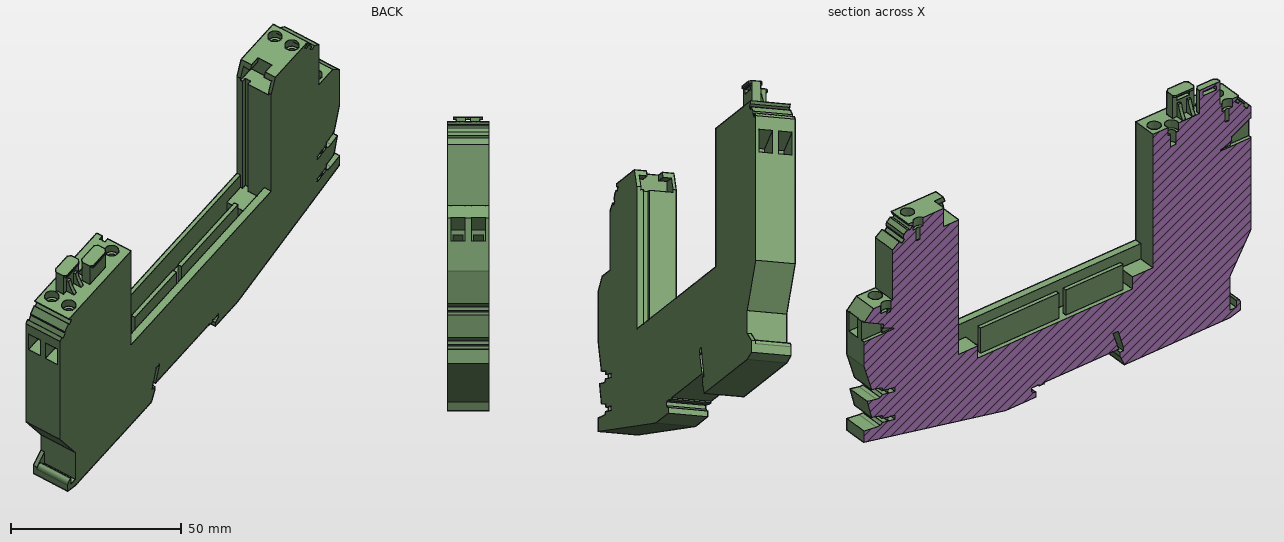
import cadquery as cq
import math


width = 12.3
length = 144.6
plug_top = 86.4
front_top = 78.1
rear_top = 85.0
rear_step_top = 60.3
well_top = 35.9
well_front = 36.7
well_rear = 109.2
rail_top = 6.5
centre_x = width / 2

column_spacing = 6.1
columns = (centre_x - column_spacing / 2, centre_x + column_spacing / 2)


def box(x0, x1, y0, y1, z0, z1):
    """Box between opposite corners."""
    return cq.Workplane("XY").box(x1 - x0, y1 - y0, z1 - z0, centered=False).translate((x0, y0, z0))


def side_prism(points, x0, x1):
    """Extrude a (Y, Z) outline from x0 to x1."""
    return cq.Workplane("YZ").polyline(points).close().extrude(x1 - x0).translate((x0, 0, 0))


jaw_pitch = 10.0
jaw_root_y = 133.1
jaw_neck_y = 135.7
jaw_root_top = 28.6
jaw_root_bottom = 27.3


def jaw(drop):
    """Upper lip, root and lower lip of one bus jaw that opens to the rear."""
    lips = [
        (141.8, 31.5), (139.0, 30.8), (137.9, 30.5), (137.9, 29.5), (jaw_neck_y, 29.1),
        (jaw_root_y, jaw_root_top), (jaw_root_y, jaw_root_bottom), (jaw_neck_y, 27.8),
        (137.7, 28.2), (138.6, 27.5), (140.0, 27.5),
    ]
    return [(y, z - drop) for y, z in lips]


foot_wall_y = 7.8
foot_tip_y = 3.9
foot_ramp_top = 8.0
foot_ramp_bottom = 4.8

foot = [
    (47.3, 0), (foot_wall_y, 0), (foot_tip_y, 1.2), (foot_tip_y, foot_ramp_bottom),
    (foot_wall_y, foot_ramp_top), (foot_wall_y, 14.9), (0, 28.2),
]
front_corner = [
    (0, 72.3), (0.9, 73.3), (1.6, 72.3), (2.6, 73.6), (2.5, 74.4), (4.3, 76.2),
    (4.8, 75.5), (6.0, 76.5), (5.0, 77.2), (4.6, front_top),
]
well = [
    (well_front, front_top), (well_front, well_top), (well_rear, well_top),
    (well_rear, 79.4), (111.4, rear_top),
]
rear_corner = [
    (128.0, rear_top), (127.7, 84.2), (126.5, 83.8), (127.5, 82.7), (128.5, 83.2), (129.8, 82.0),
    (130.0, 81.0), (129.6, 80.1), (130.5, 79.3), (131.5, 80.1), (134.0, 78.3),
]
rear_step = [(134.0, rear_step_top), (141.0, rear_step_top), (length, 56.7), (length, 41.1)]
rear_jaws = jaw(0) + [(143.5, 28.2)] + jaw(jaw_pitch) + [(length, 18.1)]
rail_hook = [
    (length, 13.9), (91.7, 2.6), (80.3, 2.6), (80.3, 4.3), (81.0, 4.6), (82.0, 5.4), (82.0, rail_top),
]
slot_end_y = 50.6
slot_end_z = 13.9
slot_radius = 0.9
foot_slot = [
    (49.3, rail_top), (slot_end_y + slot_radius, slot_end_z - slot_radius),
    (slot_end_y - slot_radius, slot_end_z - slot_radius), (47.7, 6.4), (47.7, 5.4), (49.0, 5.4), (49.0, 3.8),
]

outline = (
    foot + front_corner + well + rear_corner + rear_step + rear_jaws + rail_hook + foot_slot
)
body = side_prism(outline, 0, width)

side_wall = 1.3
slot_end_depth = 1.5
body = body.cut(
    cq.Workplane("YZ").center(slot_end_y, slot_end_z).circle(slot_radius).extrude(slot_end_depth)
)

lip_height = 5.4
lip_radius = 1.5
lip_rear_y = 5.6
groove_floor = 2.9
arc_inset = lip_radius * (1 - math.sqrt(0.5))
foot_relief = (
    cq.Workplane("YZ")
    .moveTo(foot_wall_y, foot_ramp_top)
    .lineTo(foot_wall_y, groove_floor)
    .lineTo(lip_rear_y, groove_floor)
    .lineTo(lip_rear_y, lip_height)
    .lineTo(foot_tip_y + lip_radius, lip_height)
    .threePointArc(
        (foot_tip_y + arc_inset, lip_height - arc_inset), (foot_tip_y, lip_height - lip_radius)
    )
    .lineTo(foot_tip_y, foot_ramp_bottom)
    .close()
    .extrude(width - side_wall)
    .translate((side_wall, 0, 0))
)
body = body.cut(foot_relief)

nub_height = 0.5
nub_front = 77.2
nub_rear = 79.1
body = body.union(box(0, width, nub_front, nub_rear, rail_top - nub_height, rail_top + nub_height))

bar_thickness = 0.5
bar_top = 29.4
for drop in (0, jaw_pitch):
    body = body.union(
        box(0, width, jaw_neck_y - bar_thickness, jaw_neck_y, jaw_root_bottom - drop, bar_top - drop)
    )

channel_right = 9.8
channel_floor = 30.4
socket_front = 44.4
socket_rear = 102.1
socket_floor = 26.0
rib_left = 5.5
rib_right = 6.8
rib_top = 35.0

body = body.cut(box(side_wall, channel_right, well_front, well_rear, channel_floor, well_top))
body = body.cut(box(side_wall, channel_right, socket_front, socket_rear, socket_floor, well_top))
for rib_front, rib_rear in ((46.7, 68.1), (70.7, 100.0)):
    body = body.union(box(rib_left, rib_right, rib_front, rib_rear, socket_floor, rib_top))

guide_left = 2.0
guide_right = 3.9
guide_depth = 1.5
latch_floor = 78.5
lip_underside = 83.3
body = body.cut(
    box(guide_left, guide_right, well_front - guide_depth, well_front, channel_floor, front_top)
)
body = body.cut(
    box(guide_left, guide_right, well_rear, well_rear + guide_depth, channel_floor, latch_floor)
)

latch_right = 11.3
latch_rear = 114.7
notch_left = 3.8
notch_right = 8.7
body = body.cut(box(side_wall, latch_right, well_rear, latch_rear, latch_floor, lip_underside))
body = body.cut(box(notch_left, notch_right, well_rear, latch_rear, latch_floor, rear_top))

hole_diameter = 4.2
hole_depth = 2.9
core_diameter = 2.5
core_depth = 7.2
front_screw_y = 9.0
rear_screw_y = 124.4
step_screw_y = 136.4


def bore(x, y, top, diameter, depth):
    """Vertical blind cylinder going down from the given top."""
    return cq.Workplane("XY").center(x, y).circle(diameter / 2).extrude(-depth).translate((0, 0, top))


stepped_holes = [(7.5, 33.5, front_top), (4.9, 29.1, front_top)]
for x in columns:
    stepped_holes.append((x, front_screw_y, front_top))
    stepped_holes.append((x, rear_screw_y, rear_top))
for x, y, top in stepped_holes:
    body = body.cut(bore(x, y, top, hole_diameter, hole_depth))
    body = body.cut(bore(x, y, top, core_diameter, core_depth))

drive_length = 4.0
drive_width = 0.9
drive_angle = -45
drive_depth = 0.9
for x in columns:
    body = body.cut(bore(x, step_screw_y, rear_step_top, hole_diameter, hole_depth))
    drive = (
        cq.Workplane("XY")
        .rect(drive_length, drive_width)
        .extrude(-drive_depth)
        .rotate((0, 0, 0), (0, 0, 1), drive_angle)
        .translate((x, step_screw_y, rear_step_top - hole_depth))
    )
    body = body.cut(drive)

entry_width = 4.2
entry_height = 7.0
entry_depth = 7.2
clamp_depth = 4.3
entry_throat = 3.2
clamp_inset = 0.6
clamp_height = 1.7
front_entry_bottom = 61.3
rear_entry_bottom = 49.9


def wire_entry(x, face_y, inward, bottom):
    """Funnel with a sloping roof that leads into a narrower clamp opening."""
    throat_y = face_y + inward * entry_depth
    clamp_y = throat_y + inward * clamp_depth
    funnel = [
        (face_y, bottom), (face_y, bottom + entry_height),
        (throat_y, bottom + entry_throat), (throat_y, bottom),
    ]
    clamp = [(throat_y, bottom), (throat_y, bottom + clamp_height), (clamp_y, bottom)]
    half = entry_width / 2
    opening = side_prism(funnel, x - half, x + half)
    return opening.union(side_prism(clamp, x - half + clamp_inset, x + half - clamp_inset))


for x in columns:
    body = body.cut(wire_entry(x, 0, 1, front_entry_bottom))
    body = body.cut(wire_entry(x, length, -1, rear_entry_bottom))

blade_width = 2.7
cap_width = 4.2
cap_corner = 0.9
cap_thickness = 0.7
window_length = 4.8
window_bottom = 83.9
window_top = 85.2
fin_reach = 2.7
fin_flat = 0.7
fin_top = 82.9
fin_thickness = 1.2
fin_spacing = 3.6
fin_bulge = 0.22


def bridge_plug(blade_x, fin_side, y_front, y_rear):
    """Upright windowed blade with an overhanging cap and two hollow fins towards fin_side."""
    y_mid = (y_front + y_rear) / 2
    plug_length = y_rear - y_front
    plug = cq.Workplane("XY").box(
        blade_width, plug_length, plug_top - front_top, centered=(True, True, False)
    )
    cap = (
        cq.Workplane("XY")
        .box(cap_width, plug_length, cap_thickness, centered=(True, True, False))
        .edges("|Z")
        .chamfer(cap_corner)
        .translate((0, 0, plug_top - front_top - cap_thickness))
    )
    window = (
        cq.Workplane("XY")
        .box(blade_width, window_length, window_top - window_bottom, centered=(True, True, False))
        .translate((0, 0, window_bottom - front_top))
    )
    plug = plug.union(cap).cut(window)
    fin_height = fin_top - front_top
    blade_face = fin_side * blade_width / 2
    flat_end = blade_face + fin_side * fin_flat
    fin_tip = blade_face + fin_side * fin_reach
    bend = ((flat_end + fin_tip) / 2 - fin_side * fin_bulge, fin_height / 2 - fin_bulge)
    for row in (-1, 1):
        fin = (
            cq.Workplane("XZ")
            .lineTo(fin_tip, 0)
            .threePointArc(bend, (flat_end, fin_height))
            .lineTo(0, fin_height)
            .close()
            .extrude(fin_thickness / 2, both=True)
            .translate((0, row * fin_spacing / 2, 0))
        )
        plug = plug.union(fin)
    return plug.translate((blade_x, y_mid, front_top))


cap_joint_x = 6.2
body = body.union(bridge_plug(cap_joint_x + cap_width / 2, -1, 19.1, 27.2))
body = body.union(bridge_plug(cap_joint_x - cap_width / 2, 1, 11.5, 19.4))

result = body